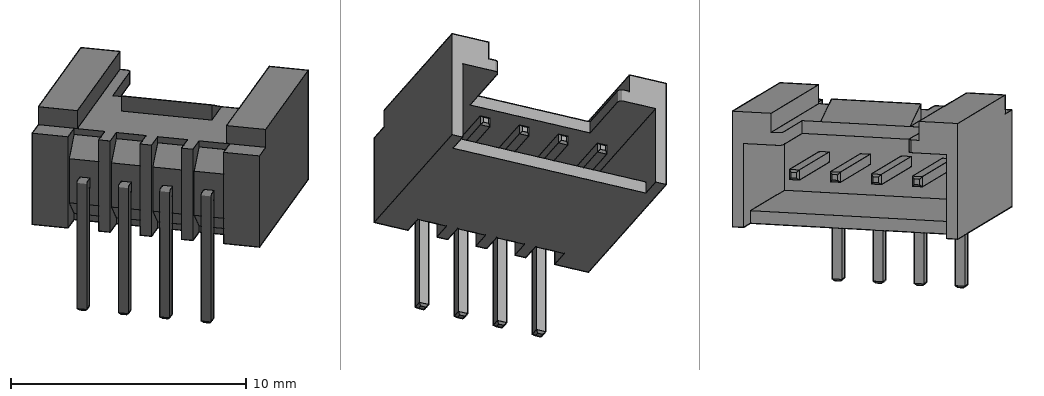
import cadquery as cq

width = 10
depth = 8.01
rail_top = 5
deck_top = 4.18
mid_height = deck_top / 2

rail_width = 1.72
rail_length = 7

side_wall = 0.5
deck_thickness = 0.55
cavity_start = 2
floor_end = 7
notch_width = 5.6
notch_start = 5.02
notch_corner_radius = 0.2

wedge_width = 3.97
wedge_length = 1.6
wedge_height = 0.7

pin_count = 4
pitch = 1.82
pocket_span = 6.84
pocket_depth = 1
rib_width = 0.51
bulge_face = 0.2
bulge_margin = 0.28

pin_size = 0.44
pin_front = -0.29
pin_end = 6.5
pin_bottom = -3.62
pin_taper = 0.1
bend_radius = 0.1


def box(x_size, y_min, y_max, z_min, z_max, x_centre=0):
    """Box centred on x_centre in X, with explicit Y and Z limits."""
    return (
        cq.Workplane("XY")
        .box(x_size, y_max - y_min, z_max - z_min, centered=(True, False, False))
        .translate((x_centre, y_min, z_min))
    )


def extrude_side_profile(points, x_size):
    """Extrude a closed (Y, Z) outline symmetrically about X = 0."""
    return cq.Workplane("YZ").polyline(points).close().extrude(x_size / 2, both=True)


def make_shell():
    """Housing with rails, mating cavity and the deck notch."""
    shell = box(width, 0, depth, 0, deck_top)
    for side in (-1, 1):
        rail_centre = side * (width - rail_width) / 2
        shell = shell.union(box(rail_width, depth - rail_length, depth, deck_top, rail_top, rail_centre))

    cavity_width = width - 2 * side_wall
    cavity_top = deck_top - deck_thickness
    shell = shell.cut(box(cavity_width, cavity_start, depth, deck_thickness, cavity_top))
    shell = shell.cut(box(cavity_width, floor_end, depth, 0, deck_thickness))
    shell = shell.cut(box(notch_width, notch_start, depth, cavity_top, deck_top))
    rail_inner_edge = width / 2 - rail_width
    tongue_tips = shell.faces(">Y").edges("|Z").edges(
        cq.selectors.BoxSelector(
            (-rail_inner_edge, 0, cavity_top),
            (rail_inner_edge, 2 * depth, deck_top),
        )
    )
    return tongue_tips.fillet(notch_corner_radius)


def make_wedge():
    """Latch ramp rising from the notch edge towards the pin side."""
    high_end = notch_start - wedge_length
    outline = [
        (notch_start, deck_top),
        (high_end, deck_top),
        (high_end, deck_top + wedge_height),
    ]
    return extrude_side_profile(outline, wedge_width)


def make_pocket_void():
    """Space in front of the pin-side wall, around its 45 degree bulge and between the ribs."""
    slope = pocket_depth - bulge_face
    outline = [
        (0, 0),
        (pocket_depth, 0),
        (pocket_depth, bulge_margin),
        (bulge_face, bulge_margin + slope),
        (bulge_face, deck_top - bulge_margin - slope),
        (pocket_depth, deck_top - bulge_margin),
        (pocket_depth, deck_top),
        (0, deck_top),
    ]
    void = extrude_side_profile(outline, pocket_span)
    rib_count = pin_count - 1
    for index in range(rib_count):
        rib_centre = (index - (rib_count - 1) / 2) * pitch
        void = void.cut(box(rib_width, 0, pocket_depth, 0, deck_top, rib_centre))
    return void


def make_pin():
    """L-shaped pin at X = 0 with tapered tips and a rounded outer bend."""
    pin_top = mid_height + pin_size / 2
    leg = box(pin_size, pin_front, pin_front + pin_size, pin_bottom, pin_top)
    leg = leg.faces("<Z").chamfer(pin_taper)
    arm = box(pin_size, pin_front, pin_end, pin_top - pin_size, pin_top)
    arm = arm.faces(">Y").chamfer(pin_taper)
    return leg.union(arm).faces("<Y").edges(">Z").fillet(bend_radius)


result = make_shell().union(make_wedge()).cut(make_pocket_void())
pin = make_pin()
for index in range(pin_count):
    result = result.union(pin.translate(((index - (pin_count - 1) / 2) * pitch, 0, 0)))